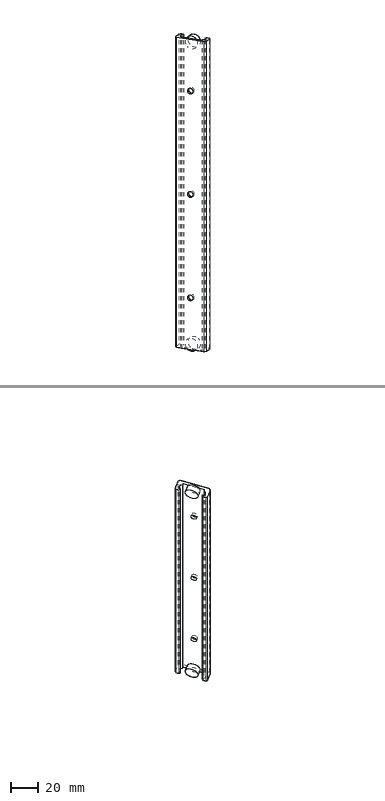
import cadquery as cq

overall_length = 244.0
rail_length = 240.0
rail_width = 25.0
rail_depth = 8.5
floor_thickness = 2.2
back_chamfer = 1.2
lip_chamfer = 1.0

race_opening_half_width = 8.3
race_bottom_half_width = 10.0
lip_underside = 7.3
race_lower_edge = 3.5

hole_diameter = 4.5
hole_spacing = 80.0

stop_diameter = 10.0
stop_top = 7.0

half_width = rail_width / 2
race_middle = (race_lower_edge + lip_underside) / 2


def make_rail():
    """Extrude the channel, drawn as its right half and mirrored about X = 0."""
    right_half = (
        cq.Workplane("XY")
        .workplane(offset=-rail_length / 2)
        .lineTo(half_width - back_chamfer, 0)
        .lineTo(half_width, back_chamfer)
        .lineTo(half_width, rail_depth - lip_chamfer)
        .lineTo(half_width - lip_chamfer, rail_depth)
        .lineTo(race_opening_half_width + lip_chamfer, rail_depth)
        .lineTo(race_opening_half_width, lip_underside)
        .threePointArc(
            (race_bottom_half_width, race_middle),
            (race_opening_half_width, race_lower_edge),
        )
        .lineTo(race_opening_half_width, floor_thickness)
        .lineTo(0, floor_thickness)
        .close()
        .extrude(rail_length)
    )
    return right_half.union(right_half.mirror("YZ"))


def cylinder_along_y(diameter, height, start_y, center_z):
    """Solid cylinder growing toward +Y from start_y, centred on X = 0."""
    base = cq.Vector(0, start_y, center_z)
    return cq.Workplane(cq.Solid.makeCylinder(diameter / 2, height, base, cq.Vector(0, 1, 0)))


result = make_rail()

for hole_index in (-1, 0, 1):
    hole = cylinder_along_y(hole_diameter, rail_depth, 0, hole_index * hole_spacing)
    result = result.cut(hole)

stop_center_z = (overall_length - stop_diameter) / 2
for end in (-1, 1):
    stop = cylinder_along_y(
        stop_diameter, stop_top - floor_thickness, floor_thickness, end * stop_center_z
    )
    result = result.union(stop)